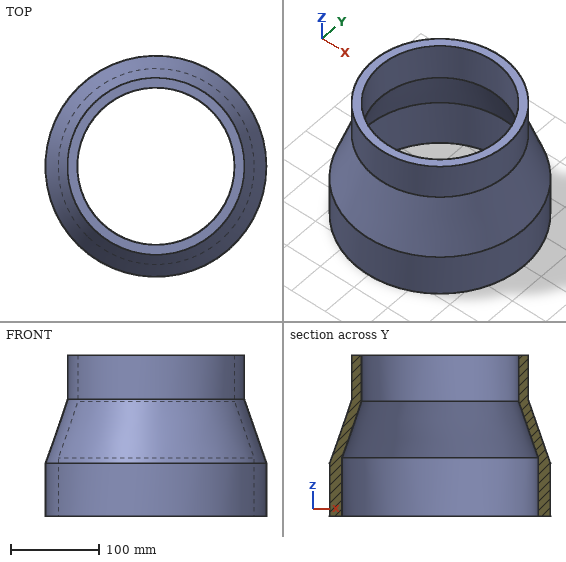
import cadquery as cq

large_diameter = 250.0
small_diameter = 200.0
large_bore_diameter = 221.5
small_bore_diameter = 177.2

total_height = 182.0
outer_cone_bottom = 60.0
outer_cone_top = 132.0
bore_cone_bottom = 66.0
bore_cone_top = 130.0


def stepped_cone(lower_diameter, upper_diameter, cone_bottom, cone_top):
    """Solid of a cylinder, a cone and a narrower cylinder stacked along Z."""
    lower_radius = lower_diameter / 2
    upper_radius = upper_diameter / 2
    half_profile = (
        cq.Workplane("XZ")
        .lineTo(lower_radius, 0)
        .lineTo(lower_radius, cone_bottom)
        .lineTo(upper_radius, cone_top)
        .lineTo(upper_radius, total_height)
        .lineTo(0, total_height)
        .close()
    )
    return half_profile.revolve(360, (0, 0, 0), (0, 1, 0))


body = stepped_cone(large_diameter, small_diameter, outer_cone_bottom, outer_cone_top)
bore = stepped_cone(large_bore_diameter, small_bore_diameter, bore_cone_bottom, bore_cone_top)

result = body.cut(bore)